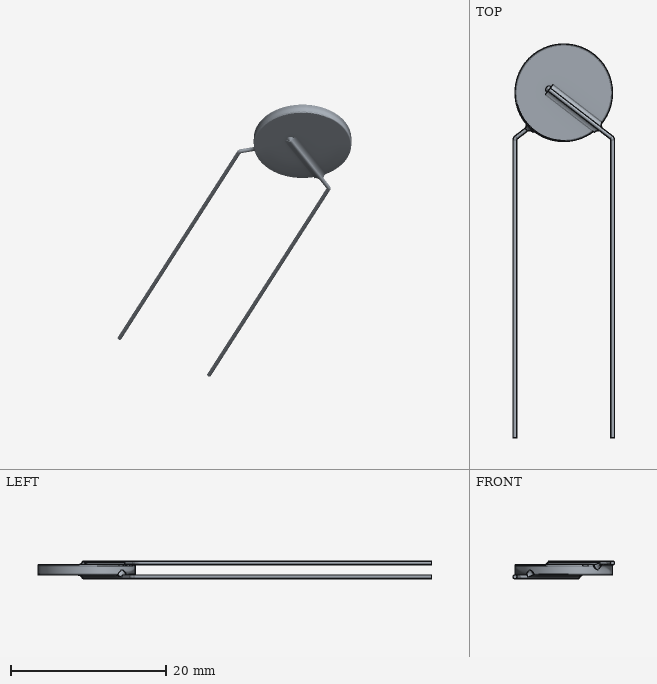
import cadquery as cq
import math

disc_radius = 6.3
disc_thickness = 1.35
rim_fillet = 0.15
disc_top = disc_thickness / 2

overall_width = 13.1
overall_length = 50.7
overall_height = 2.3
wire_radius = 0.25
bend_radius = 0.45
wire_z = overall_height / 2 - wire_radius
leg_x = overall_width / 2 - wire_radius
leg_end_y = disc_radius - overall_length
wire_start = (-1.9, 0.4)
corner_y = -5.9

ridge_fillet = 0.75
flare_radius = 0.65
coat_bite = 0.025
nose_radius = overall_height / 2 - disc_top

run_x = leg_x - wire_start[0]
run_y = corner_y - wire_start[1]
run_length = math.hypot(run_x, run_y)
run_dir = (run_x / run_length, run_y / run_length)
bend_angle = math.pi / 2 - math.atan2(-run_y, run_x)
bend_setback = bend_radius * math.tan(bend_angle / 2)

wire_height = wire_z - disc_top
fillet_rise = ridge_fillet - wire_height
coat_radius = wire_radius - coat_bite
center_distance = ridge_fillet + coat_radius
foot_half_width = math.sqrt(center_distance**2 - fillet_rise**2)
touch_x = foot_half_width * coat_radius / center_distance
touch_y = fillet_rise * coat_radius / center_distance

along_to_middle = -(wire_start[0] * run_dir[0] + wire_start[1] * run_dir[1])
axis_offset = abs(wire_start[0] * run_dir[1] - wire_start[1] * run_dir[0])
rim_distance = along_to_middle + math.sqrt(disc_radius**2 - axis_offset**2)
flare_end = rim_distance + flare_radius

run_plane = cq.Plane(
    origin=(*wire_start, wire_z),
    xDir=(-run_dir[1], run_dir[0], 0),
    normal=(*run_dir, 0),
)


def flip(shape):
    """Half turn about Y, from the upper face to the lower face."""
    return shape.rotate((0, 0, 0), (0, 1, 0), 180)


def make_lead():
    """Upper wire: slanting run, bend and long straight leg."""
    bend_start = run_length - bend_setback
    bend_start_point = (
        wire_start[0] + bend_start * run_dir[0],
        wire_start[1] + bend_start * run_dir[1],
    )
    bend_end_point = (leg_x, corner_y - bend_setback)
    path = (
        cq.Workplane("XY", origin=(0, 0, wire_z))
        .moveTo(*wire_start)
        .lineTo(*bend_start_point)
        .tangentArcPoint(bend_end_point, relative=False)
        .lineTo(leg_x, leg_end_y)
    )
    return cq.Workplane(run_plane).circle(wire_radius).sweep(path)


def make_disc():
    return (
        cq.Workplane("XY", origin=(0, 0, -disc_top))
        .circle(disc_radius)
        .extrude(disc_thickness)
        .edges()
        .fillet(rim_fillet)
    )


def fillet_middle(side):
    """Middle point of the ridge fillet on one side (-1 or 1) of the wire."""
    touch_angle = math.atan2(fillet_rise, foot_half_width)
    middle_angle = (touch_angle + math.pi / 2) / 2
    return (
        side * (foot_half_width - ridge_fillet * math.cos(middle_angle)),
        fillet_rise - ridge_fillet * math.sin(middle_angle),
    )


def make_flare():
    """Concave collar around the upper wire where it leaves the rim."""
    outer_radius = coat_radius + flare_radius
    flare_plane = cq.Plane(run_plane.origin, xDir=run_plane.xDir, normal=(0, 0, -1))
    arc_inset = flare_radius * math.sqrt(0.5)
    return (
        cq.Workplane(flare_plane)
        .moveTo(0, 0)
        .lineTo(outer_radius, 0)
        .lineTo(outer_radius, rim_distance)
        .threePointArc(
            (outer_radius - arc_inset, flare_end - arc_inset),
            (coat_radius, flare_end),
        )
        .lineTo(0, flare_end)
        .close()
        .revolve(360, (0, 0), (0, 1))
    )


def make_ridge():
    """Coating along the upper wire, filleted to the disc and flared at the rim."""
    foot_y = -wire_height
    base_y = -coat_radius - flare_radius
    ridge_outline = (
        cq.Workplane(run_plane)
        .moveTo(-foot_half_width, base_y)
        .lineTo(-foot_half_width, foot_y)
        .threePointArc(fillet_middle(-1), (-touch_x, touch_y))
        .lineTo(touch_x, touch_y)
        .threePointArc(fillet_middle(1), (foot_half_width, foot_y))
        .lineTo(foot_half_width, base_y)
        .close()
    )
    return ridge_outline.extrude(flare_end).intersect(make_flare())


def make_nose():
    """Half cone of coating that slopes down from the wire's inner end to the disc."""
    heading = math.degrees(math.atan2(run_y, run_x))
    half_cone = cq.Solid.makeCone(nose_radius, 0, nose_radius, angleDegrees=180)
    return (
        cq.Workplane(half_cone)
        .rotate((0, 0, 0), (0, 0, 1), heading + 90)
        .translate((*wire_start, disc_top))
    )


def make_bore():
    """Space that the upper wire takes up inside the coating."""
    return cq.Workplane(run_plane).circle(wire_radius).extrude(run_length - bend_setback)


def make_coating():
    upper_ridge = make_ridge()
    upper_bore = make_bore()
    upper_nose = make_nose()
    coating = make_disc().union(upper_ridge).union(flip(upper_ridge))
    coating = coating.cut(upper_bore).cut(flip(upper_bore))
    return coating.union(upper_nose).union(flip(upper_nose))


upper_lead = make_lead()
leads = [upper_lead, flip(upper_lead)]
coating = make_coating()

result = cq.Compound.makeCompound([coating.val(), *[lead.val() for lead in leads]])